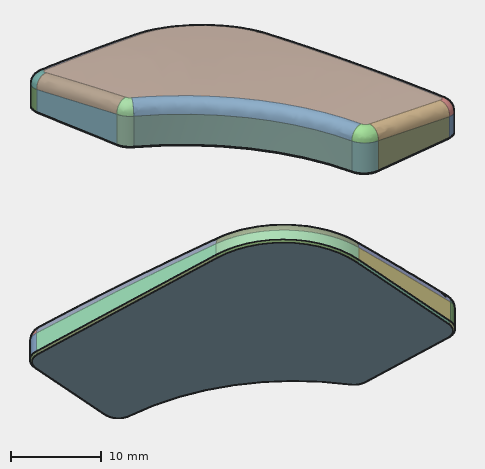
import cadquery as cq
import math

length = 39.8
depth = 28.4
large_corner_radius = 11.125
small_corner_radius = 2.125

hollow_radius = 28.7
hollow_center_x = 39.2
hollow_center_y = -15.95

max_height = 5.48
dome_radius = 400.0

top_fillet = 1.5
bottom_chamfer = 0.25

peak_distance = hollow_radius + top_fillet
dome_center_z = max_height - math.sqrt(dome_radius**2 - peak_distance**2)


def hollow_point(angle):
    """Point of the hollow wall at an angle measured from +X."""
    x = hollow_center_x + hollow_radius * math.cos(angle)
    y = hollow_center_y + hollow_radius * math.sin(angle)
    return (x, y)


def make_blank():
    """Straight-sided plate with rounded upright edges, taller than the finished part."""
    start_angle = math.pi - math.asin(-hollow_center_y / hollow_radius)
    end_angle = math.acos((length - hollow_center_x) / hollow_radius)
    blank = (
        cq.Workplane("XY")
        .lineTo(*hollow_point(start_angle))
        .threePointArc(hollow_point((start_angle + end_angle) / 2), hollow_point(end_angle))
        .lineTo(length, depth)
        .lineTo(0, depth)
        .close()
        .extrude(2 * max_height)
    )
    blank = blank.edges("|Z").edges("<X and >Y").fillet(large_corner_radius)
    sharp_corners = [(0, 0), hollow_point(start_angle), hollow_point(end_angle), (length, depth)]
    for x, y in sharp_corners:
        corner = cq.selectors.NearestToPointSelector((x, y, max_height))
        blank = blank.edges("|Z").edges(corner).fillet(small_corner_radius)
    return blank


def make_dome():
    """Ball whose upper cap forms the top face."""
    ball_center = (hollow_center_x, hollow_center_y, dome_center_z)
    return cq.Workplane("XY").sphere(dome_radius).translate(ball_center)


plate = make_blank().intersect(make_dome())
plate = plate.faces(">Z").edges().fillet(top_fillet)
result = plate.faces("<Z").edges().chamfer(bottom_chamfer)